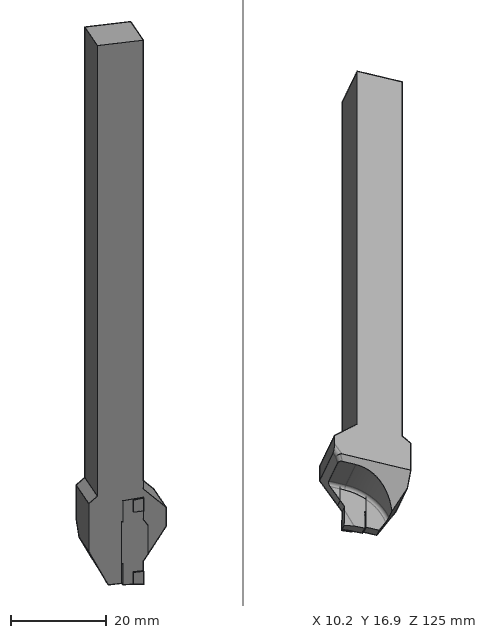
import cadquery as cq
import math

length = 125.0
shank = 10.0
width = 9.8
half_shank = shank / 2
head_back = 10.0
head_front = -6.9
back_shoulder_top = 21.8
back_shoulder_bottom = 16.9
back_slope_top = 12.6
front_shoulder_top = 21.4
front_shoulder_bottom = 19.9
front_slope_top = 8.9
toe_y = -2.6
toe_z = 0.6
edge_round = 1.0

bevel_top = 12.0
bevel_bottom = 4.8
bevel_width = 5.1
blade_x = 8.1
step_center_z = 0.5
step_radius = 10.2
step_fillet = 0.8

insert_length = 19.9
insert_back = 6.0
insert_front = 0.2
tip_front = 0.56
tip_length = 5.1
rake_ramp_end = 6.6
end_relief = 0.2
edge_land = 3.0
land_front = 2.8
side_overhang = 0.4
relief_start_y = 3.0
relief_start_z = 0.2
relief_direction = 62
relief_tilt = 10


def prism(points, start_x, end_x):
    """Extrude a (Y, Z) outline along X."""
    outline = cq.Workplane("YZ").workplane(offset=start_x).polyline(points).close()
    return outline.extrude(end_x - start_x)


def corner_relief():
    """Block whose tilted face trims the lower +Y corner of the insert on -X."""
    direction = math.radians(relief_direction)
    tilt = math.radians(relief_tilt)
    normal = cq.Vector(
        -math.cos(tilt),
        math.sin(tilt) * math.sin(direction),
        -math.sin(tilt) * math.cos(direction),
    )
    edge = cq.Vector(0, math.cos(direction), math.sin(direction))
    plane = cq.Plane((blade_x, relief_start_y, relief_start_z), edge, normal)
    block_size = 2 * insert_length
    return cq.Workplane(plane).rect(block_size, block_size).extrude(block_size)


def make_insert():
    lower_half = [
        (half_shank, 0),
        (half_shank, tip_length),
        (insert_back, rake_ramp_end),
    ]
    lower_front = [
        (insert_front, tip_length),
        (tip_front, tip_length),
        (tip_front, end_relief),
    ]
    upper_back = [(y, insert_length - z) for y, z in reversed(lower_half)]
    upper_front = [(y, insert_length - z) for y, z in reversed(lower_front)]
    body = prism(lower_half + upper_back + upper_front + lower_front, blade_x, width)

    lower_land = [
        (half_shank, 0),
        (half_shank, edge_land),
        (land_front, edge_land),
        (land_front, end_relief),
    ]
    upper_land = [(y, insert_length - z) for y, z in lower_land]
    for land in (lower_land, upper_land):
        body = body.union(prism(land, blade_x, width + side_overhang))

    lower_relief = corner_relief()
    upper_relief = lower_relief.mirror("XY", (0, 0, insert_length / 2))
    return body.cut(lower_relief).cut(upper_relief)


def holder_blank():
    slope_end = (insert_back, rake_ramp_end)
    outline = [
        (-half_shank, length),
        (half_shank, length),
        (half_shank, back_shoulder_top),
        (head_back, back_shoulder_bottom),
        (head_back, back_slope_top),
        slope_end,
        (insert_front, rake_ramp_end),
        (insert_front, toe_z),
        (toe_y, toe_z),
        (head_front, front_slope_top),
        (head_front, front_shoulder_bottom),
        (-half_shank, front_shoulder_top),
    ]
    return prism(outline, 0, width)


def side_bevel():
    """Material removed below the sloping -X side of the head."""
    bevel_slope = (bevel_top - bevel_bottom) / bevel_width
    bevel_end_x = bevel_top / bevel_slope
    wedge = cq.Workplane("XZ", origin=(0, head_back, 0))
    wedge = wedge.polyline([(0, bevel_top), (bevel_end_x, 0), (0, 0)]).close()
    return wedge.extrude(head_back - head_front)


def blade_step():
    """Material removed beside the blade, up to a ledge that curves down on -Y."""
    disc = cq.Workplane("YZ").center(half_shank, step_center_z).circle(step_radius).extrude(blade_x)
    ledge_top = step_center_z + step_radius
    back_reach = half_shank + step_radius
    flat = prism(
        [(half_shank, 0), (back_reach, 0), (back_reach, ledge_top), (half_shank, ledge_top)],
        0,
        blade_x,
    )
    return disc.union(flat).faces(">X").edges().fillet(step_fillet)


def round_back_slope(body):
    """Round the -X edges of the back slope, on the flat side and along the bevel."""
    slope_rise = (back_slope_top - rake_ramp_end) / (head_back - insert_back)
    bevel_edge_y = head_back - (back_slope_top - bevel_top) / slope_rise
    flat_edge_middle = (0, (head_back + bevel_edge_y) / 2, (back_slope_top + bevel_top) / 2)
    bevel_edge_middle = (
        bevel_width * (bevel_top - rake_ramp_end) / (bevel_top - bevel_bottom) / 2,
        (bevel_edge_y + insert_back) / 2,
        (bevel_top + rake_ramp_end) / 2,
    )
    flat_edge = cq.NearestToPointSelector(flat_edge_middle)
    bevel_edge = cq.NearestToPointSelector(bevel_edge_middle)
    return body.edges(flat_edge).add(body.edges(bevel_edge)).fillet(edge_round)


def make_holder(insert):
    body = round_back_slope(holder_blank().cut(side_bevel()))
    return body.cut(blade_step()).cut(insert)


insert = make_insert()
holder = make_holder(insert)

result = cq.Compound.makeCompound([*holder.solids().vals(), *insert.solids().vals()])